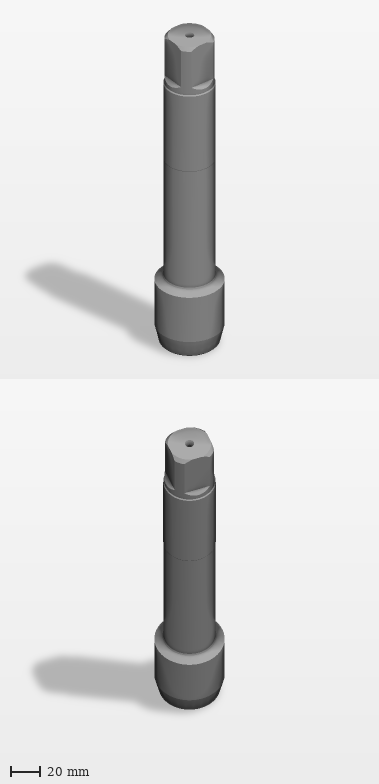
import cadquery as cq
import math

total_length = 250.0
head_shoulder_z = 50.3
neck_end_z = 150.0

head_diameter = 48.27
lead_end_diameter = 42.25
tip_chamfer = 1.1
lead_start_z = 14.0
back_taper_end_diameter = 37.05
back_taper_angle = 30.0
neck_root_height = 1.0

neck_diameter = 35.7
shank_diameter = 36.0
drive_diameter = 34.56
drive_length = 38.0
neck_step_height = 0.5

drive_flats = 4
square_width = 29.0
square_length = 32.0
top_chamfer = 2.4

centre_hole_diameter = 3.15
countersink_diameter = 6.5
countersink_angle = 60.0
centre_hole_depth = 7.0
drill_point_angle = 120.0

head_radius = head_diameter / 2
lead_end_radius = lead_end_diameter / 2
neck_radius = neck_diameter / 2
shank_radius = shank_diameter / 2
drive_radius = drive_diameter / 2
back_taper_end_radius = back_taper_end_diameter / 2
back_taper_slope = math.tan(math.radians(back_taper_angle))
back_taper_end_z = head_shoulder_z + (head_radius - back_taper_end_radius) * back_taper_slope
head_top_z = back_taper_end_z + neck_root_height
drive_start_z = total_length - drive_length


def revolve_profile(points):
    """Revolve a (radius, height) outline around the Z axis."""
    return cq.Workplane("XZ").polyline(points).close().revolve(360, (0, 0, 0), (0, 1, 0))


def make_head():
    """Cutting head with a chamfered tip, a tapered lead and a conical back."""
    return revolve_profile([
        (0, 0),
        (lead_end_radius - tip_chamfer, 0),
        (lead_end_radius, tip_chamfer),
        (head_radius, lead_start_z),
        (head_radius, head_shoulder_z),
        (back_taper_end_radius, back_taper_end_z),
        (neck_radius, head_top_z),
        (0, head_top_z),
    ])


def make_shank_blank():
    """Neck, shank and round drive end with its 45 degree top chamfer."""
    return revolve_profile([
        (0, head_top_z),
        (neck_radius, head_top_z),
        (neck_radius, neck_end_z - neck_step_height),
        (shank_radius, neck_end_z),
        (shank_radius, drive_start_z - (shank_radius - drive_radius)),
        (drive_radius, drive_start_z),
        (drive_radius, total_length - top_chamfer),
        (drive_radius - top_chamfer, total_length),
        (0, total_length),
    ])


def make_flat_cutter():
    """Stock removed for the flat on the +X side, with a 45 degree run-out at its lower end."""
    flat_x = square_width / 2
    flat_end_z = total_length - square_length
    return (
        cq.Workplane("XZ")
        .polyline([
            (flat_x, total_length),
            (flat_x, flat_end_z),
            (shank_radius, flat_end_z - (shank_radius - flat_x)),
            (shank_radius, total_length),
        ])
        .close()
        .extrude(shank_radius, both=True)
    )


def make_centre_hole():
    """Centre drilling: countersink, pilot bore and drill point."""
    hole_radius = centre_hole_diameter / 2
    sink_radius = countersink_diameter / 2
    sink_depth = (sink_radius - hole_radius) / math.tan(math.radians(countersink_angle / 2))
    point_depth = hole_radius / math.tan(math.radians(drill_point_angle / 2))
    bore_end_z = total_length - centre_hole_depth
    return revolve_profile([
        (0, total_length),
        (sink_radius, total_length),
        (hole_radius, total_length - sink_depth),
        (hole_radius, bore_end_z),
        (0, bore_end_z - point_depth),
    ])


def make_shank():
    """Shank with four drive flats and a centre hole."""
    body = make_shank_blank()
    for flat in range(drive_flats):
        body = body.cut(make_flat_cutter().rotate((0, 0, 0), (0, 0, 1), 360 / drive_flats * flat))
    return body.cut(make_centre_hole())


head = make_head()
shank = make_shank()

result = cq.Compound.makeCompound([head.val(), shank.val()])